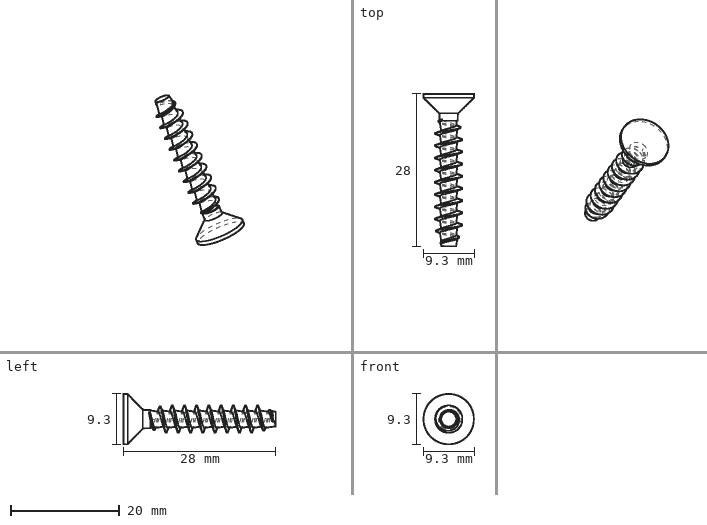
import cadquery as cq
import math

total_length = 28.0

head_radius = 4.65
rim_thickness = 0.75
cone_end = 3.53
cone_end_radius = 1.8
shank_start = 3.8
shank_end = 4.93
shank_radius = 1.7

core_radius = 1.37
buried_radius = 1.35
flare_radius = 1.665
flare_offset = 0.15
flare_length = 2.0
flare_start = 3.92

tip_length = 1.25
tip_base_radius = 1.6

pitch = 2.25
crest_reference = 6.15
crest_radius = 2.52
crest_half_width = 0.042
root_half_width = 0.4
thread_start = 4.75
thread_start_radius = 1.82
full_thread_start = 7.28
full_thread_end = 24.78
thread_end = 27.55
thread_end_radius = 1.45


def helix_edge(start, end, start_radius, end_radius, offset):
    """Helical edge whose radius changes evenly; offset shifts it along the axis."""
    height = end - start
    slope = math.atan((end_radius - start_radius) / height)
    slant = 1 / math.cos(slope)
    cone_angle = math.degrees(slope) if slope else 360
    helix = cq.Wire.makeHelix(pitch * slant, height * slant, start_radius, angle=cone_angle)
    phase = 360 * (start - crest_reference) / pitch
    helix = helix.rotate(cq.Vector(0, 0, 0), cq.Vector(0, 0, 1), phase)
    return helix.translate(cq.Vector(0, 0, start + offset)).Edges()[0]


def section_face(edges, at_end):
    """Flat face across a helical body at one end of its edges."""
    corners = [edge.endPoint() if at_end else edge.startPoint() for edge in edges]
    outline = cq.Wire.makePolygon(corners, close=True)
    return cq.Face.makeFromWires(outline)


def helical_solid(stretches):
    """Closed body around consecutive stretches, each a list of corner edges."""
    faces = [section_face(stretches[0], False), section_face(stretches[-1], True)]
    for edges in stretches:
        for edge, next_edge in zip(edges, edges[1:] + edges[:1]):
            faces.append(cq.Face.makeRuledSurface(edge, next_edge))
    return cq.Solid.makeSolid(cq.Shell.makeShell(faces)).fix()


def thread_edges(start, end, start_crest, end_crest):
    """Corner edges of one stretch of thread, with its crest rising or falling."""
    return [
        helix_edge(start, end, buried_radius, buried_radius, -root_half_width),
        helix_edge(start, end, start_crest, end_crest, -crest_half_width),
        helix_edge(start, end, start_crest, end_crest, crest_half_width),
        helix_edge(start, end, buried_radius, buried_radius, root_half_width),
    ]


def make_thread():
    lead_in = thread_edges(thread_start, full_thread_start, thread_start_radius, crest_radius)
    full = thread_edges(full_thread_start, full_thread_end, crest_radius, crest_radius)
    run_out = thread_edges(full_thread_end, thread_end, crest_radius, thread_end_radius)
    return helical_solid([lead_in, full, run_out])


def make_flare():
    flare_end = total_length + pitch / 2
    corners = [
        (buried_radius, flare_offset),
        (flare_radius, flare_offset),
        (buried_radius, flare_offset + flare_length),
    ]
    edges = [helix_edge(flare_start, flare_end, radius, radius, offset) for radius, offset in corners]
    return helical_solid([edges])


def make_body():
    """Head, neck, shank and plain core as one turned body."""
    return (
        cq.Workplane("XZ")
        .moveTo(0, 0)
        .lineTo(head_radius, 0)
        .lineTo(head_radius, rim_thickness)
        .lineTo(cone_end_radius, cone_end)
        .lineTo(shank_radius, shank_start)
        .lineTo(shank_radius, shank_end)
        .lineTo(core_radius, shank_end)
        .lineTo(core_radius, total_length)
        .lineTo(0, total_length)
        .close()
        .revolve(360, (0, 0, 0), (0, 1, 0))
    )


def make_flare_envelope():
    """Turned space that the flare may fill, tapering over the tip length."""
    tip_start = total_length - tip_length
    return (
        cq.Workplane("XZ")
        .moveTo(0, 0)
        .lineTo(head_radius, 0)
        .lineTo(head_radius, tip_start)
        .lineTo(tip_base_radius, tip_start)
        .lineTo(core_radius, total_length)
        .lineTo(0, total_length)
        .close()
        .revolve(360, (0, 0, 0), (0, 1, 0))
    )


flare = cq.Workplane(make_flare()).intersect(make_flare_envelope())
thread = cq.Workplane(make_thread())
screw = make_body().union(flare).union(thread)
result = screw.rotate((0, 0, 0), (1, 0, 0), 90)